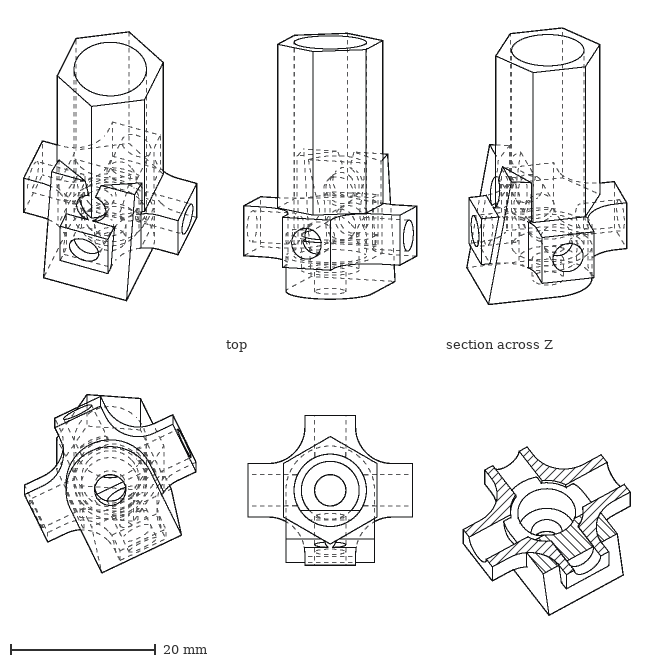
import cadquery as cq
import math

total_height = 35.0
hex_across_flats = 12.88
hex_side = hex_across_flats / math.sqrt(3)
tube_bore_dia = 10.0
cross_bottom = 4.97
arm_height = 7.05
x_arm_span = 22.8
y_arm_span = 20.75
x_arm_width = hex_side
y_arm_width = arm_height
corner_radius = 5.0
cross_hole_dia = 4.3

insert_width = 12.25
base_height = 7.95
base_front = 10.0
lean_angle = 10.0
slab_length = 18.75
slab_thickness = 4.0
slab_fillet = 2.5
pocket_dia = 8.0
pocket_floor = 3.0
drain_hole_dia = cross_hole_dia
slab_hole_dia = cross_hole_dia
slab_hole_height = 14.1


def make_cross():
    """Two crossed bars with rounded inner corners, arms along X and Y."""
    x_bar = cq.Workplane("XY").rect(x_arm_span, x_arm_width).extrude(arm_height)
    y_bar = cq.Workplane("XY").rect(y_arm_width, y_arm_span).extrude(arm_height)
    inner_x = y_arm_width / 2
    inner_y = x_arm_width / 2
    cross = x_bar.union(y_bar)
    for x in (-inner_x, inner_x):
        for y in (-inner_y, inner_y):
            corner = cq.selectors.NearestToPointSelector((x, y, arm_height / 2))
            cross = cross.edges("|Z").edges(corner).fillet(corner_radius)
    return cross.translate((0, 0, cross_bottom))


def make_hub():
    half_sector = 360 / 6 / 2
    tube = (
        cq.Workplane("XY", origin=(0, 0, cross_bottom))
        .polygon(6, 2 * hex_side)
        .extrude(total_height - cross_bottom)
        .rotate((0, 0, 0), (0, 0, 1), half_sector)
    )
    bore = cq.Workplane("XY").circle(tube_bore_dia / 2).extrude(total_height)
    hub = make_cross().union(tube).cut(bore)

    hole_center = (0, 0, cross_bottom + arm_height / 2)
    for plane, span in (("YZ", x_arm_span), ("XZ", y_arm_span)):
        hole = cq.Workplane(plane, origin=hole_center).circle(cross_hole_dia / 2).extrude(span / 2, both=True)
        hub = hub.cut(hole)
    return hub


def make_round_backed_block():
    """Full-height block with a semicircular back and a flat front, the outline of the insert."""
    back_radius = insert_width / 2
    return (
        cq.Workplane("XY")
        .moveTo(-back_radius, -base_front)
        .lineTo(-back_radius, 0)
        .threePointArc((0, back_radius), (back_radius, 0))
        .lineTo(back_radius, -base_front)
        .close()
        .extrude(total_height)
    )


def make_insert(hub):
    lean = math.radians(lean_angle)
    lean_cos = math.cos(lean)
    lean_sin = math.sin(lean)

    front_top = (-base_front + slab_length * lean_sin, slab_length * lean_cos)
    back_top = (front_top[0] + slab_thickness * lean_cos, front_top[1] - slab_thickness * lean_sin)
    back_root = (back_top[0] - (back_top[1] - base_height) * math.tan(lean), base_height)

    back_end = insert_width / 2
    profile = (
        cq.Workplane("YZ")
        .polyline([(-base_front, 0), front_top, back_top, back_root, (back_end, base_height), (back_end, 0)])
        .close()
        .extrude(insert_width / 2, both=True)
    )
    root_edge = cq.selectors.NearestToPointSelector((0, *back_root))
    profile = profile.edges("|X").edges(root_edge).fillet(slab_fillet)

    insert = profile.intersect(make_round_backed_block())

    pocket_height = base_height + slab_fillet - pocket_floor
    pocket = cq.Workplane("XY", origin=(0, 0, pocket_floor)).circle(pocket_dia / 2).extrude(pocket_height)
    drain = cq.Workplane("XY").circle(drain_hole_dia / 2).extrude(base_height)
    insert = insert.cut(pocket).cut(drain)

    hole_plane = cq.Plane(
        origin=(0, -base_front + slab_hole_height * math.tan(lean), slab_hole_height),
        xDir=(1, 0, 0),
        normal=(0, lean_cos, -lean_sin),
    )
    slab_hole = cq.Workplane(hole_plane).circle(slab_hole_dia / 2).extrude(slab_thickness)
    insert = insert.cut(slab_hole)

    return insert.cut(hub)


hub = make_hub()
insert = make_insert(hub)
result = cq.Compound.makeCompound([*hub.vals(), *insert.vals()])